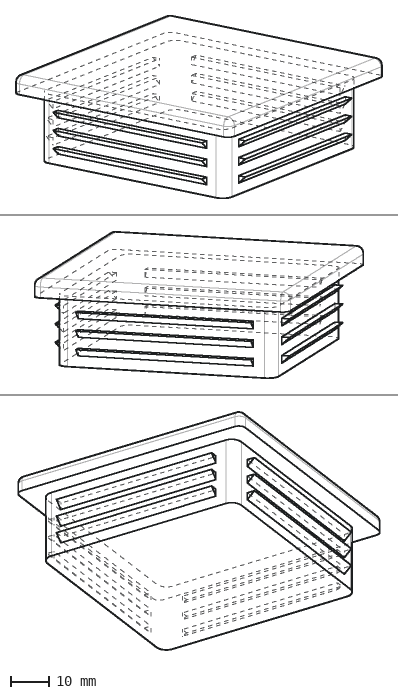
import cadquery as cq

cover_side = 70.0
cover_thickness = 5.05
cover_round = 2.0
total_height = 24.0

plug_side = 60.0
plug_corner_radius = 3.0
plug_height = total_height - cover_thickness

rib_length = 48.0
rib_reach = 2.2
rib_height = 2.0
rib_pitch = 5.0
rib_count = 3
lowest_rib_top = 5.1


def make_cover():
    """Square plate with rounded upright corners and a rounded top edge."""
    plate = (
        cq.Workplane("XY")
        .workplane(offset=plug_height)
        .rect(cover_side, cover_side)
        .extrude(cover_thickness)
    )
    return plate.edges("|Z or >Z").fillet(cover_round)


def make_plug():
    """Square block with rounded upright corners."""
    block = cq.Workplane("XY").rect(plug_side, plug_side).extrude(plug_height)
    return block.edges("|Z").fillet(plug_corner_radius)


def make_rib(top):
    """Triangular barb on the +X face, flat on top and sloping in below."""
    face = plug_side / 2
    root = face - plug_corner_radius
    profile = [
        (root, top),
        (face + rib_reach, top),
        (face, top - rib_height),
        (root, top - rib_height),
    ]
    return cq.Workplane("XZ").polyline(profile).close().extrude(rib_length / 2, both=True)


result = make_plug().union(make_cover())
for level in range(rib_count):
    rib = make_rib(lowest_rib_top + level * rib_pitch)
    for angle in (0, 90, 180, 270):
        result = result.union(rib.rotate((0, 0, 0), (0, 0, 1), angle))